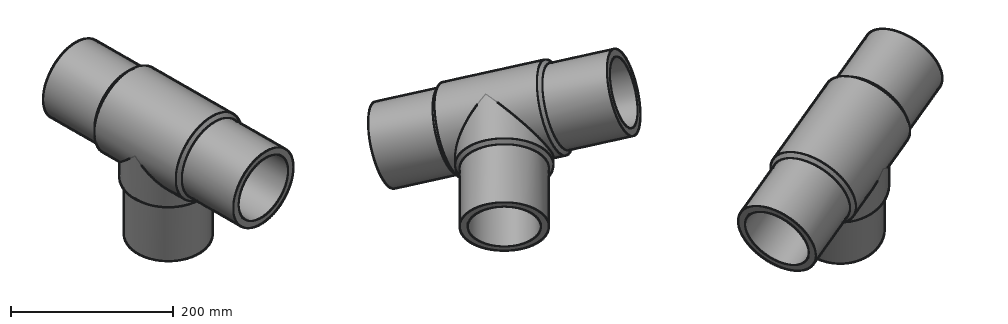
import cadquery as cq

run_length = 317.0
branch_length = 158.0
pipe_diameter = 110.0
body_diameter = 121.0
bore_diameter = 90.0
body_reach = 73.0
taper_length = 5.0

pipe_radius = pipe_diameter / 2
body_radius = body_diameter / 2
bore_radius = bore_diameter / 2
run_reach = run_length / 2


def make_arm(direction, reach):
    """Solid pipe arm from the tee centre, with its thick, tapered body."""
    profile = (
        cq.Workplane("XZ")
        .moveTo(0, 0)
        .lineTo(body_radius, 0)
        .lineTo(body_radius, body_reach - taper_length)
        .lineTo(pipe_radius, body_reach)
        .lineTo(pipe_radius, reach)
        .lineTo(0, reach)
        .close()
    )
    arm = profile.revolve(360, (0, 0, 0), (0, 1, 0)).val()
    placement = cq.Plane(origin=(0, 0, 0), xDir=(0, 1, 0), normal=direction)
    return cq.Workplane(arm.moved(cq.Location(placement)))


right_arm = make_arm((1, 0, 0), run_reach)
left_arm = make_arm((-1, 0, 0), run_reach)
branch = make_arm((0, 0, -1), branch_length)
tee = right_arm.union(left_arm).union(branch).clean()

run_bore = cq.Workplane("YZ").circle(bore_radius).extrude(run_reach, both=True)
branch_bore = cq.Workplane("XY").circle(bore_radius).extrude(-branch_length)

result = tee.cut(run_bore).cut(branch_bore)